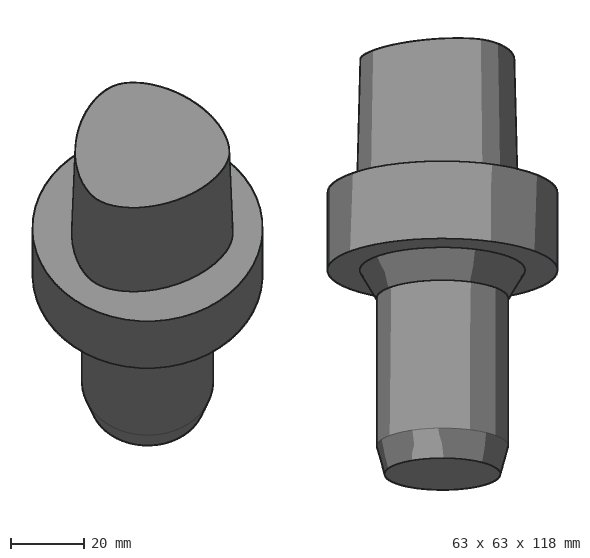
import cadquery as cq
import math

TIP_HEIGHT = 8.0
SHAFT_HEIGHT = 42.0
NECK_HEIGHT = 8.0
FLANGE_HEIGHT = 22.0
SHANK_HEIGHT = 38.0

TIP_HALF_ANGLE = math.radians(15)
NECK_HALF_ANGLE = math.radians(30)
SHAFT_DIAMETER = 36.0
TIP_DIAMETER = SHAFT_DIAMETER - 2 * TIP_HEIGHT * math.tan(TIP_HALF_ANGLE)
NECK_DIAMETER = SHAFT_DIAMETER + 2 * NECK_HEIGHT * math.tan(NECK_HALF_ANGLE)
FLANGE_DIAMETER = 62.98

SHANK_BASE_WIDTH = 44.1
SHANK_TAPER = 1 / 20
SHANK_TOP_WIDTH = SHANK_BASE_WIDTH - SHANK_HEIGHT * SHANK_TAPER
LOBE_ECCENTRICITY = 1.4
OUTLINE_POINTS = 72


def make_round_body():
    """Tip, shaft, conical neck and flange as one revolved profile, flange top at Z = 0."""
    neck_top = -FLANGE_HEIGHT
    shaft_top = neck_top - NECK_HEIGHT
    tip_top = shaft_top - SHAFT_HEIGHT
    tip_bottom = tip_top - TIP_HEIGHT
    profile = [
        (0, tip_bottom),
        (TIP_DIAMETER / 2, tip_bottom),
        (SHAFT_DIAMETER / 2, tip_top),
        (SHAFT_DIAMETER / 2, shaft_top),
        (NECK_DIAMETER / 2, neck_top),
        (FLANGE_DIAMETER / 2, neck_top),
        (FLANGE_DIAMETER / 2, 0),
        (0, 0),
    ]
    return cq.Workplane("XZ").polyline(profile).close().revolve(360, (0, 0), (0, 1))


def lobe_point(width, angle):
    """Point of the three-lobed curve whose normal has this angle from the lobe on -Y."""
    support = width / 2 + LOBE_ECCENTRICITY * math.cos(3 * angle)
    slope = -3 * LOBE_ECCENTRICITY * math.sin(3 * angle)
    along_lobe = support * math.cos(angle) - slope * math.sin(angle)
    across_lobe = support * math.sin(angle) + slope * math.cos(angle)
    return across_lobe, -along_lobe


def lobe_outline(width):
    """Points around the three-lobed curve, starting at the lobe on -Y."""
    return [lobe_point(width, 2 * math.pi * i / OUTLINE_POINTS) for i in range(OUTLINE_POINTS)]


def make_shank():
    """Tapered three-lobed shank standing on the flange."""
    return (
        cq.Workplane("XY")
        .spline(lobe_outline(SHANK_BASE_WIDTH), periodic=True)
        .close()
        .workplane(offset=SHANK_HEIGHT)
        .spline(lobe_outline(SHANK_TOP_WIDTH), periodic=True)
        .close()
        .loft(ruled=True)
    )


result = make_round_body().union(make_shank())